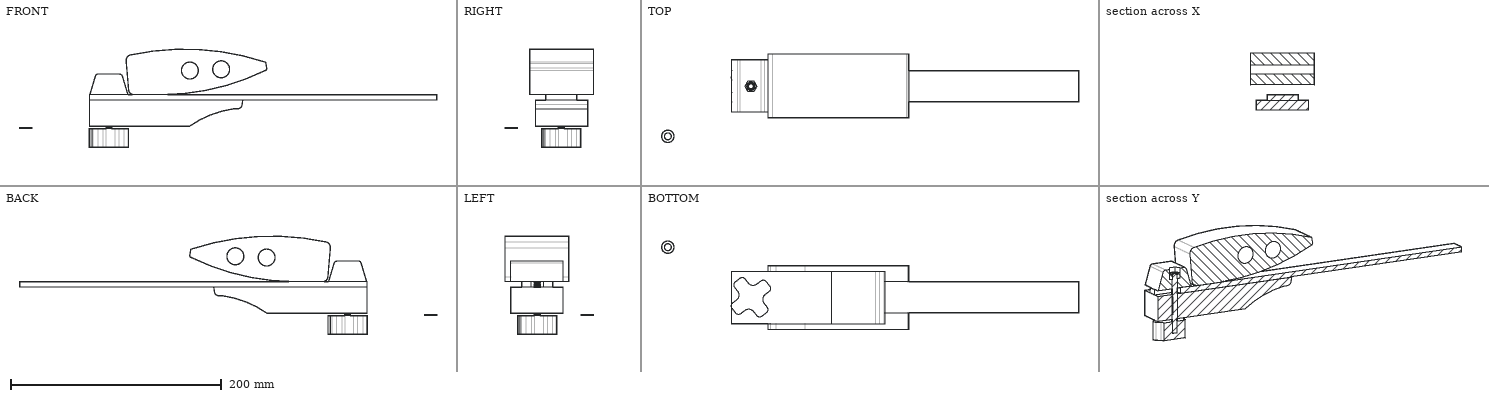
import cadquery as cq
import math


overall_length = 396.5

blade_left = -18.5
blade_right = 311.5
blade_width = 29.7
blade_thickness = 5.0
blade_slot_width = 12.0

jaw_width = 50.0
jaw_center_y = 0.5
lower_jaw_height = 25.0
lower_jaw_right = 127.3
lower_jaw_flat_end = 76.5
lower_jaw_sweep = (95.0, -14.5)
lower_jaw_sweep_end = 118.5
lower_jaw_tip_thickness = 8.5
lower_jaw_tip_lean = 1.0
lower_jaw_tip_radius = 4.8
upper_jaw_height = 20.0
upper_jaw_base_length = 36.5
upper_jaw_top_length = 24.5
upper_jaw_left_radius = 2.8
upper_jaw_right_radius = 3.5

handle_width = 60.5
handle_center_y = 0.5
handle_bottom_left = (19.0, blade_thickness)
handle_top_left = (16.0, 42.0)
handle_crown = (82.5, 48.5)
handle_nose_top = (149.0, 36.0)
handle_nose_bottom = (150.3, 29.0)
handle_belly = (117.0, 15.5)
handle_flat_end = (51.5, blade_thickness)
handle_top_radius = 5.5
handle_bottom_radius = 5.0
handle_nose_radius = 2.0
handle_hole_diameter = 16.0
handle_hole_centers = [(77.0, 28.0), (106.5, 29.5)]

screw_diameter = 6.0
thread_root_diameter = 4.8
thread_pitch = 1.0
screw_depth_in_knob = 12.0

nut_across_flats = 10.0
nut_height = 5.0
nut_recess = 4.8
nut_mouth_diameter = 8.0

knob_gap = 2.0
knob_height = 18.0
knob_reach = 20.5
knob_lobe_width = 12.5
knob_tip_radius = 3.5
knob_root_radius = 6.0
knob_turn = 52.0

washer_diameter = 12.0
washer_bore = 6.5
washer_thickness = 1.0
washer_y = -47.5
washer_bottom = -27.0

upper_jaw_top = blade_thickness + upper_jaw_height
nut_top = upper_jaw_top - nut_recess
nut_bottom = nut_top - nut_height
nut_across_corners = nut_across_flats / math.cos(math.pi / 6)
knob_top = -lower_jaw_height - knob_gap
knob_bottom = knob_top - knob_height
screw_bottom = knob_top - screw_depth_in_knob
washer_x = blade_right - overall_length + washer_diameter / 2


def cylinder(diameter, bottom, top):
    """Upright cylinder on the screw axis."""
    return cq.Workplane("XY", origin=(0, 0, bottom)).circle(diameter / 2).extrude(top - bottom)


def hexagon(bottom, top):
    """Upright prism with the outline of the nut, on the screw axis."""
    return cq.Workplane("XY", origin=(0, 0, bottom)).polygon(6, nut_across_corners).extrude(top - bottom)


def extrude_across(outline, width, center_y):
    """Extrude an XZ outline equally to both sides of the plane Y = center_y."""
    return outline.extrude(width / 2, both=True).translate((0, center_y, 0))


def round_corner(body, corner, center_y, radius):
    """Fillet the edge along Y that passes through the outline corner (X, Z)."""
    x, z = corner
    edge = cq.selectors.NearestToPointSelector((x, center_y, z))
    return body.edges(edge).fillet(radius)


def make_lower_jaw():
    tip_bottom = -lower_jaw_tip_thickness
    tip_corner = (lower_jaw_right - lower_jaw_tip_lean, tip_bottom)
    outline = (
        cq.Workplane("XZ")
        .moveTo(blade_left, 0)
        .lineTo(blade_left, -lower_jaw_height)
        .lineTo(lower_jaw_flat_end, -lower_jaw_height)
        .threePointArc(lower_jaw_sweep, (lower_jaw_sweep_end, tip_bottom))
        .lineTo(*tip_corner)
        .lineTo(lower_jaw_right, 0)
        .close()
    )
    jaw = extrude_across(outline, jaw_width, jaw_center_y)
    jaw = round_corner(jaw, tip_corner, jaw_center_y, lower_jaw_tip_radius)
    return jaw.cut(cylinder(screw_diameter, -lower_jaw_height, 0))


def make_upper_jaw():
    half_base = upper_jaw_base_length / 2
    half_top = upper_jaw_top_length / 2
    outline = (
        cq.Workplane("XZ")
        .moveTo(-half_base, blade_thickness)
        .lineTo(half_base, blade_thickness)
        .lineTo(half_top, upper_jaw_top)
        .lineTo(-half_top, upper_jaw_top)
        .close()
    )
    jaw = extrude_across(outline, jaw_width, jaw_center_y)
    jaw = round_corner(jaw, (-half_top, upper_jaw_top), jaw_center_y, upper_jaw_left_radius)
    jaw = round_corner(jaw, (half_top, upper_jaw_top), jaw_center_y, upper_jaw_right_radius)
    jaw = jaw.cut(hexagon(nut_bottom, upper_jaw_top))
    return jaw.cut(cylinder(screw_diameter, blade_thickness, nut_bottom))


def make_blade():
    blade = (
        cq.Workplane("XY")
        .box(blade_right - blade_left, blade_width, blade_thickness, centered=(False, True, False))
        .translate((blade_left, 0, 0))
    )
    open_part = (
        cq.Workplane("XY")
        .box(-blade_left, blade_slot_width, blade_thickness, centered=(False, True, False))
        .translate((blade_left, 0, 0))
    )
    return blade.cut(open_part).cut(cylinder(blade_slot_width, 0, blade_thickness))


def make_handle():
    outline = (
        cq.Workplane("XZ")
        .moveTo(*handle_bottom_left)
        .lineTo(*handle_top_left)
        .threePointArc(handle_crown, handle_nose_top)
        .lineTo(*handle_nose_bottom)
        .threePointArc(handle_belly, handle_flat_end)
        .close()
    )
    handle = extrude_across(outline, handle_width, handle_center_y)
    corner_radii = [
        (handle_top_left, handle_top_radius),
        (handle_bottom_left, handle_bottom_radius),
        (handle_nose_top, handle_nose_radius),
        (handle_nose_bottom, handle_nose_radius),
    ]
    for corner, radius in corner_radii:
        handle = round_corner(handle, corner, handle_center_y, radius)
    hole_circles = cq.Workplane("XZ").pushPoints(handle_hole_centers).circle(handle_hole_diameter / 2)
    return handle.cut(extrude_across(hole_circles, handle_width, handle_center_y))


def make_screw():
    """Plain shank in the knob, then ring-shaped thread ridges up to the top of the nut."""
    crest = screw_diameter / 2
    root = thread_root_diameter / 2
    turns = math.floor((nut_top - knob_top) / thread_pitch)
    profile = cq.Workplane("XZ").moveTo(0, screw_bottom).lineTo(crest, screw_bottom)
    for turn in range(turns):
        ridge = knob_top + turn * thread_pitch
        profile = profile.lineTo(crest, ridge).lineTo(root, ridge + thread_pitch / 2)
    profile = profile.lineTo(root, nut_top).lineTo(0, nut_top).close()
    return profile.revolve(360, (0, 0, 0), (0, 1, 0))


def make_nut():
    nut = hexagon(nut_bottom, nut_top).cut(cylinder(screw_diameter, nut_bottom, nut_top))
    mouth_width = (nut_mouth_diameter - screw_diameter) / 2
    return nut.faces(">Z").edges("%CIRCLE").chamfer(mouth_width)


def make_knob():
    """Cross of four lobes with rounded tips and rounded inner corners."""
    bar = (
        cq.Workplane("XY", origin=(0, 0, knob_bottom))
        .rect(2 * knob_reach, knob_lobe_width)
        .extrude(knob_height)
    )
    knob = bar.union(bar.rotate((0, 0, 0), (0, 0, 1), 90))
    half_reach = knob_reach / 2
    inner_corners = cq.selectors.BoxSelector(
        (-half_reach, -half_reach, knob_bottom), (half_reach, half_reach, knob_top)
    )
    knob = knob.edges("|Z").edges(inner_corners).fillet(knob_root_radius)
    knob = knob.faces("<X or >X or <Y or >Y").edges("|Z").fillet(knob_tip_radius)
    knob = knob.rotate((0, 0, 0), (0, 0, 1), knob_turn)
    return knob.cut(cylinder(screw_diameter, screw_bottom, knob_top))


def make_washer():
    return (
        cq.Workplane("XY", origin=(washer_x, washer_y, washer_bottom))
        .circle(washer_diameter / 2)
        .circle(washer_bore / 2)
        .extrude(washer_thickness)
    )


lower_jaw = make_lower_jaw()
upper_jaw = make_upper_jaw()
blade = make_blade()
handle = make_handle()
screw = make_screw()
nut = make_nut()
knob = make_knob()
washer = make_washer()

result = cq.Compound.makeCompound([
    lower_jaw.val(),
    upper_jaw.val(),
    blade.val(),
    handle.val(),
    screw.val(),
    nut.val(),
    knob.val(),
    washer.val(),
])